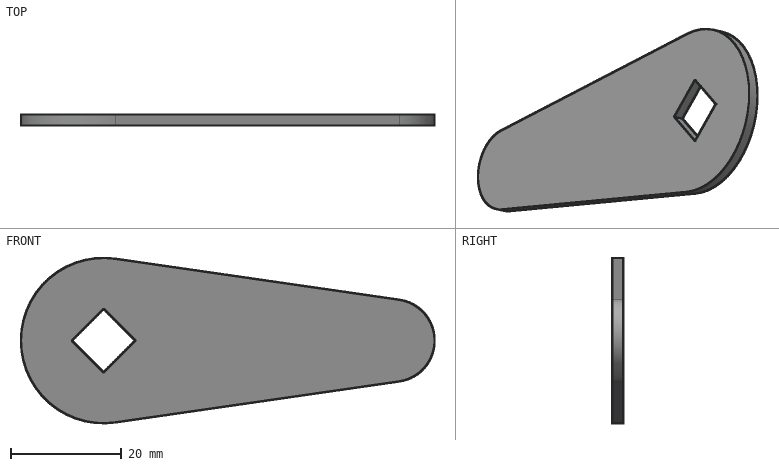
import cadquery as cq
import math

length = 75.0
thickness = 2.0
big_radius = 15.0
small_radius = 7.5
square_side = 8.1

center_distance = length - big_radius - small_radius

tangent_angle = math.acos((big_radius - small_radius) / center_distance)
tangent_x = math.cos(tangent_angle)
tangent_z = math.sin(tangent_angle)


def lever_plate():
    """Tapered outline in the XZ plane, extruded evenly about Y = 0."""
    big_x = big_radius * tangent_x
    big_z = big_radius * tangent_z
    small_x = center_distance + small_radius * tangent_x
    small_z = small_radius * tangent_z
    return (
        cq.Workplane("XZ")
        .moveTo(big_x, big_z)
        .lineTo(small_x, small_z)
        .threePointArc((center_distance + small_radius, 0), (small_x, -small_z))
        .lineTo(big_x, -big_z)
        .threePointArc((-big_radius, 0), (big_x, big_z))
        .close()
        .extrude(thickness / 2, both=True)
    )


def square_hole():
    """Square through cutter at the big end's centre, with corners along X and Z."""
    return (
        cq.Workplane("XZ")
        .transformed(rotate=(0, 0, 45))
        .rect(square_side, square_side)
        .extrude(thickness, both=True)
    )


result = lever_plate().cut(square_hole())